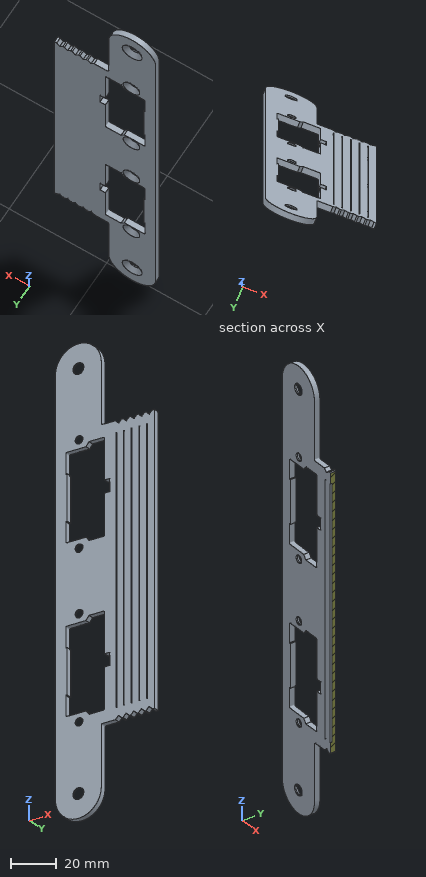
import cadquery as cq
import math

length = 230.0
width = 52.0
thickness = 3.0
strip_width = 24.2
lip_height = 145.0
inner_fillet = 0.7

strip_left = -width / 2
strip_right = strip_left + strip_width
lip_right = width / 2
end_radius = strip_width / 2
strip_axis = strip_left + end_radius
end_center = length / 2 - end_radius

mounting_hole_diameter = 5.5
land_depth = 0.7
countersink_angle = 90
latch_hole_diameter = 4.0
latch_hole_spacing = 52.5
latch_hole_x = -13.5

window_z = 42.0
window_left = -20.5
window_right = -0.2
left_half_height = 21.8
right_half_height = 24.0
ramp_x = -10.0
ramp_run = 1.5
window_corner = 0.7
ledge_depth = 0.7
ledge_height = 23.0
tongue_depth = 2.8
tongue_height = 6.2

trim_count = 5
trim_zone_width = 20.0
trim_pitch = trim_zone_width / trim_count
notch_depth = 1.5
notch_half_width = 1.5
notch_offset = 1.2
score_width = 0.3
score_depth = 1.0
score_length = 133.0

front = -thickness / 2
back = thickness / 2
cut_depth = 2 * thickness


def sketch_plane(y):
    """Workplane at depth y with X right and Z up; extrusions run from it toward the front (-Y)."""
    return cq.Workplane("XZ", origin=(0, y, 0))


def plate():
    strip = (
        sketch_plane(back)
        .center(strip_axis, 0)
        .slot2D(length, strip_width, 90)
        .extrude(thickness)
    )
    lip_width = lip_right - strip_axis
    lip = (
        sketch_plane(back)
        .center(strip_axis + lip_width / 2, 0)
        .rect(lip_width, lip_height)
        .extrude(thickness)
    )
    outline = strip.union(lip)
    for corner_z in (-lip_height / 2, lip_height / 2):
        corner = cq.NearestToPointSelector((strip_right, 0, corner_z))
        outline = outline.edges("|Y").edges(corner).fillet(inner_fillet)
    return outline


def screw_holes(diameter, centers):
    """Holes with a short straight land at the front, opening into a countersink at the back."""
    sink_depth = thickness - land_depth
    sink_radius = diameter / 2 + sink_depth * math.tan(math.radians(countersink_angle / 2))
    bore = sketch_plane(back).pushPoints(centers).circle(diameter / 2).extrude(thickness)
    sink = (
        sketch_plane(back)
        .pushPoints(centers)
        .circle(sink_radius)
        .extrude(sink_depth, taper=countersink_angle / 2)
    )
    return bore.union(sink)


def upper_window():
    left_top = window_z + left_half_height
    left_bottom = window_z - left_half_height
    right_top = window_z + right_half_height
    right_bottom = window_z - right_half_height
    ledge_top = window_z + ledge_height / 2
    ledge_bottom = window_z - ledge_height / 2
    ledge_x = window_left + ledge_depth
    opening = (
        sketch_plane(cut_depth / 2)
        .moveTo(window_left, left_top)
        .lineTo(ramp_x, left_top)
        .lineTo(ramp_x + ramp_run, right_top)
        .lineTo(window_right, right_top)
        .lineTo(window_right, right_bottom)
        .lineTo(ramp_x + ramp_run, right_bottom)
        .lineTo(ramp_x, left_bottom)
        .lineTo(window_left, left_bottom)
        .lineTo(window_left, ledge_bottom)
        .lineTo(ledge_x, ledge_bottom)
        .lineTo(ledge_x, ledge_top)
        .lineTo(window_left, ledge_top)
        .close()
        .extrude(cut_depth)
    )
    opening = opening.edges("|Y and >X").fillet(window_corner)
    left_edges = opening.edges("|Y and <X")
    opening = left_edges.edges(">Z or <Z").fillet(window_corner)
    tongue = (
        sketch_plane(cut_depth / 2)
        .center(window_right, window_z)
        .rect(2 * tongue_depth, tongue_height)
        .extrude(cut_depth)
    )
    return opening.union(tongue)


def score_groove(x):
    return cq.Workplane("XY").box(score_width, 2 * score_depth, score_length).translate((x, front, 0))


def upper_notch(x):
    """V notch with its point at x."""
    top = lip_height / 2
    return (
        sketch_plane(cut_depth / 2)
        .moveTo(x - notch_half_width, top)
        .lineTo(x, top - notch_depth)
        .lineTo(x + notch_half_width, top)
        .close()
        .extrude(cut_depth)
    )


def with_mirror(shape):
    """The shape together with its mirror image below the middle of the plate."""
    return shape.union(shape.mirror("XY"))


latch_hole_centers = [
    (latch_hole_x, window_z - latch_hole_spacing / 2),
    (latch_hole_x, window_z + latch_hole_spacing / 2),
]

result = plate()
result = result.cut(with_mirror(screw_holes(mounting_hole_diameter, [(strip_axis, end_center)])))
result = result.cut(with_mirror(screw_holes(latch_hole_diameter, latch_hole_centers)))
result = result.cut(with_mirror(upper_window()))
for line in range(1, trim_count + 1):
    groove_x = lip_right - line * trim_pitch
    result = result.cut(score_groove(groove_x))
    result = result.cut(with_mirror(upper_notch(groove_x + notch_offset)))